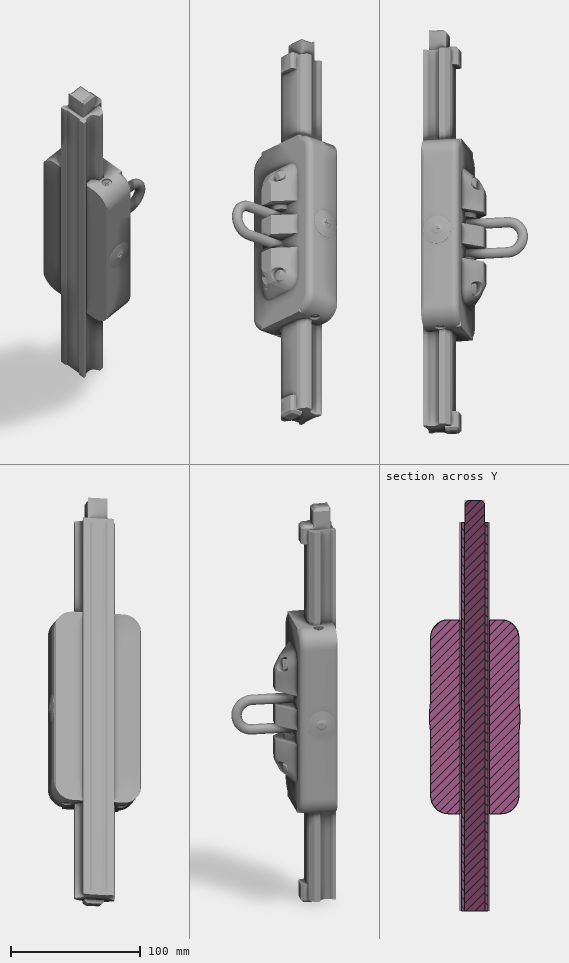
import cadquery as cq


overall_width = 71.95
overall_length = 319.8

rail_length = 300.0
rail_half_length = rail_length / 2
rail_depth = 21.7
foot_half_width = 12.1
foot_height = 2.4
neck_half_width = 10.0
neck_start = 4.3
neck_end = 9.2
flank_sag = 0.5
tip_half_width = 15.7
tip_start = 13.5
tip_step_half_width = 14.0
tip_step_y = 12.7
tip_end = 17.8
shoulder_half_width = 11.0
shoulder_y = 21.0
back_half_width = 7.8
front_recess_half_width = 7.0
front_recess_depth = 1.0

bar_width = 15.2
bar_front = 3.7
bar_back = 17.0
bar_overhang = 16.8
bar_end_bevel = 2.3
bar_lip = 0.9
hook_thickness = overall_length - rail_length - bar_overhang
hook_leg_length = 14.6
hook_back = 26.4
hook_root = 16.2
hook_bevel = 1.9

housing_width = 68.4
housing_length = 150.0
housing_front = 2.7
housing_back = 32.0
housing_corner_radius = 14.0
back_edge_radius = 5.0
front_bevel_width = 1.0
front_bevel_depth = 2.0
square_band_width = 44.0
rail_clearance = 0.6

ridge_height = 14.2
ridge_crest = housing_back + ridge_height
ridge_base = (40.4, 108.0, 10.0)
ridge_break = (20.4, 93.0, 10.0)
ridge_top = (11.0, 76.0, 5.4)
ridge_break_height = 9.8
pocket_diameter = 11.6
pocket_floor = 6.1
pocket_x = 9.0
pocket_z = 42.3
pocket_screw_diameter = 8.4
pocket_screw_top = 9.2
slot_inner = 8.0
slot_outer = 19.8
drum_diameter = 17.0
drum_axis_depth = 1.1
drum_axis_y = housing_back - drum_axis_depth
drum_half_length = 25.0

shackle_diameter = 8.0
shackle_hole_diameter = 8.2
shackle_leg_offset = 12.0
shackle_tip = 79.9
shackle_bend_y = shackle_tip - shackle_leg_offset - shackle_diameter / 2
shackle_seat = 25.0

screw_axis_x = 21.7
screw_axis_y = 15.6
screw_hole_diameter = 8.2
screw_sink = 1.8
cross_length = 4.2
cross_width = 1.1
cross_depth = 0.8
button_diameter = 22.0
button_screw_diameter = 8.5
button_crown_diameter = 5.1
button_rim_height = 0.3
button_crown_height = (overall_width - housing_width) / 2
button_screw_height = 0.6
button_seat_height = button_crown_height - button_screw_height


def z_prism(width, y_low, y_high, z_low, z_high):
    """Box centred on X between two Y and two Z levels."""
    size = (width, y_high - y_low, z_high - z_low)
    return cq.Workplane("XY").box(*size, centered=(True, False, False)).translate((0, y_low, z_low))


def rail_outline():
    """Symmetric outer section of the rail, without the front recess."""
    flank_mid_x = (neck_half_width + tip_step_half_width) / 2 - flank_sag
    flank_mid_y = (neck_end + tip_step_y) / 2 + flank_sag
    return (
        cq.Workplane("XY", origin=(0, 0, -rail_half_length))
        .moveTo(0, 0)
        .lineTo(foot_half_width, 0)
        .lineTo(foot_half_width, foot_height)
        .lineTo(neck_half_width, neck_start)
        .lineTo(neck_half_width, neck_end)
        .threePointArc((flank_mid_x, flank_mid_y), (tip_step_half_width, tip_step_y))
        .lineTo(tip_step_half_width, tip_start)
        .lineTo(tip_half_width, tip_start)
        .lineTo(tip_half_width, tip_end)
        .lineTo(shoulder_half_width, shoulder_y)
        .lineTo(back_half_width, rail_depth)
        .lineTo(0, rail_depth)
        .mirrorY()
    )


def make_rail():
    """Rail with a shallow front recess and a channel filled by the locking bar."""
    rail = rail_outline().extrude(rail_length)
    recess = z_prism(2 * front_recess_half_width, 0, front_recess_depth, -rail_half_length, rail_half_length)
    channel = z_prism(bar_width, bar_front, bar_back, -rail_half_length, rail_half_length)
    return rail.cut(recess).cut(channel)


def make_hook():
    """Hook over the upper rail end, gripping the back of the rail."""
    top = rail_half_length + hook_thickness
    hook = (
        cq.Workplane("YZ", origin=(-bar_width / 2, 0, 0))
        .moveTo(hook_root, rail_half_length)
        .lineTo(hook_root, top)
        .lineTo(hook_back, top)
        .lineTo(hook_back, top - hook_leg_length)
        .lineTo(rail_depth, top - hook_leg_length)
        .lineTo(rail_depth, rail_half_length)
        .close()
        .extrude(bar_width)
    )
    hook = hook.faces(">Y").edges("|Z").chamfer(hook_bevel)
    return hook.faces(">Z").edges("not <Y").chamfer(hook_bevel)


def make_bar():
    """Shaft bevelled on three top edges behind a square front lip, with both hooks joined on."""
    bar_top = rail_half_length + bar_overhang
    shaft = z_prism(bar_width, bar_front + bar_lip, bar_back, -rail_half_length, bar_top)
    shaft = shaft.faces(">Z").edges("|Y or >Y").chamfer(bar_end_bevel)
    lip = z_prism(bar_width, bar_front, bar_front + bar_lip, -rail_half_length, bar_top)
    upper_hook = make_hook()
    lower_hook = upper_hook.mirror("XY")
    return shaft.union(lip).union(upper_hook).union(lower_hook)


def housing_block():
    """Plate with rounded corners, standing from the front to the back level."""
    return (
        cq.Workplane("XZ", origin=(0, housing_front, 0))
        .rect(housing_width, housing_length)
        .extrude(housing_front - housing_back)
        .edges("|Y")
        .fillet(housing_corner_radius)
    )


def rounded_rectangle(width, length, corner_radius):
    return cq.Sketch().rect(width, length).vertices().fillet(corner_radius)


def ridge_tier(lower_size, lower_height, upper_size, upper_height):
    """Straight-flanked layer between two rounded rectangles."""
    lower = rounded_rectangle(*lower_size)
    upper = rounded_rectangle(*upper_size)
    rise = cq.Location(cq.Vector(0, 0, lower_height - upper_height))
    base = cq.Workplane("XZ", origin=(0, housing_back + lower_height, 0))
    return base.placeSketch(lower, upper.moved(rise)).loft(ruled=True)


def make_ridge():
    """Two-tier ridge with four screw pockets and two slots that bare the drum beside the shackle."""
    ridge = ridge_tier(ridge_base, 0, ridge_break, ridge_break_height)
    ridge = ridge.union(ridge_tier(ridge_break, ridge_break_height, ridge_top, ridge_height))

    corners = [(x, z) for x in (-pocket_x, pocket_x) for z in (-pocket_z, pocket_z)]
    floor = cq.Workplane("XZ", origin=(0, housing_back + pocket_floor, 0)).pushPoints(corners)
    pocket = floor.circle(pocket_diameter / 2).extrude(pocket_floor - ridge_height)
    screw = floor.circle(pocket_screw_diameter / 2).extrude(pocket_floor - pocket_screw_top)
    ridge = ridge.cut(pocket.cut(screw))

    slot_width = ridge_base[0]
    for z_low in (slot_inner, -slot_outer):
        z_high = z_low + slot_outer - slot_inner
        ridge = ridge.cut(z_prism(slot_width, housing_back, ridge_crest, z_low, z_high))
    drum = (
        cq.Workplane("XY", origin=(0, drum_axis_y, -drum_half_length))
        .circle(drum_diameter / 2)
        .extrude(2 * drum_half_length)
    )
    drum = drum.intersect(
        z_prism(slot_width, housing_back, ridge_crest, -drum_half_length, drum_half_length)
    )
    for side in (-1, 1):
        z_mid = side * shackle_leg_offset
        gap_half = shackle_hole_diameter / 2
        drum = drum.cut(z_prism(slot_width, housing_back, ridge_crest, z_mid - gap_half, z_mid + gap_half))
    return ridge.union(drum)


def cross_recess():
    """Cross-shaped driver recess sunk below Z = 0."""
    cross = cq.Workplane("XY").rect(cross_length, cross_width).extrude(-cross_depth)
    return cross.union(cq.Workplane("XY").rect(cross_width, cross_length).extrude(-cross_depth))


def make_button():
    """Domed side button on Z = 0 with a crowned screw head and driver recess."""
    crown_radius = button_crown_diameter / 2
    button = (
        cq.Workplane("XZ")
        .lineTo(button_diameter / 2, 0)
        .lineTo(button_diameter / 2, button_rim_height)
        .lineTo(button_screw_diameter / 2, button_seat_height)
        .lineTo(crown_radius, button_crown_height)
        .lineTo(0, button_crown_height)
        .close()
        .revolve(360, (0, 0, 0), (0, 1, 0))
    )
    return button.cut(cross_recess().translate((0, 0, button_crown_height)))


def shackle_path():
    """U-shaped centre line of the shackle."""
    return (
        cq.Workplane("YZ")
        .moveTo(shackle_seat, shackle_leg_offset)
        .lineTo(shackle_bend_y, shackle_leg_offset)
        .threePointArc((shackle_bend_y + shackle_leg_offset, 0), (shackle_bend_y, -shackle_leg_offset))
        .lineTo(shackle_seat, -shackle_leg_offset)
    )


def make_shackle():
    start = cq.Workplane("XZ", origin=(0, shackle_seat, 0)).center(0, shackle_leg_offset)
    return start.circle(shackle_diameter / 2).sweep(shackle_path())


def make_housing():
    """Housing clamped around the rail, with its ridge, screw seats and side buttons."""
    rounded = housing_block().faces(">Y").edges().fillet(back_edge_radius)
    band = z_prism(square_band_width, housing_front, housing_back, -housing_length / 2, housing_length / 2)
    housing = rounded.union(housing_block().intersect(band))
    side_x = housing_width / 2
    bevel = (
        cq.Workplane("XY", origin=(0, 0, -housing_length / 2))
        .moveTo(side_x, housing_front)
        .lineTo(side_x, housing_front + front_bevel_depth)
        .lineTo(side_x - front_bevel_width, housing_front)
        .close()
        .extrude(housing_length)
    )
    housing = housing.cut(bevel).cut(bevel.mirror("YZ"))
    housing = housing.union(make_ridge())

    rail_passage = rail_outline().offset2D(rail_clearance).extrude(rail_length)
    housing = housing.cut(rail_passage)

    for side in (-1, 1):
        leg_hole = (
            cq.Workplane("XZ", origin=(0, shackle_seat, side * shackle_leg_offset))
            .circle(shackle_hole_diameter / 2)
            .extrude(shackle_seat - ridge_crest)
        )
        housing = housing.cut(leg_hole)

    screw_level = housing_length / 2 - screw_sink
    screw_hole = cq.Workplane("XY").circle(screw_hole_diameter / 2).extrude(screw_sink)
    screw_seat = screw_hole.union(cross_recess())
    button = make_button()
    for side in (-1, 1):
        seat = screw_seat.translate((side * screw_axis_x, screw_axis_y, screw_level))
        housing = housing.cut(seat).cut(seat.mirror("XY"))
        placed = button.rotate((0, 0, 0), (0, 1, 0), side * 90)
        housing = housing.union(placed.translate((side * housing_width / 2, screw_axis_y, 0)))
    return housing


housing = make_housing()
rail = make_rail()
bar = make_bar()
shackle = make_shackle()

bodies = [housing, rail, bar, shackle]
result = cq.Compound.makeCompound([body.solids().val() for body in bodies])